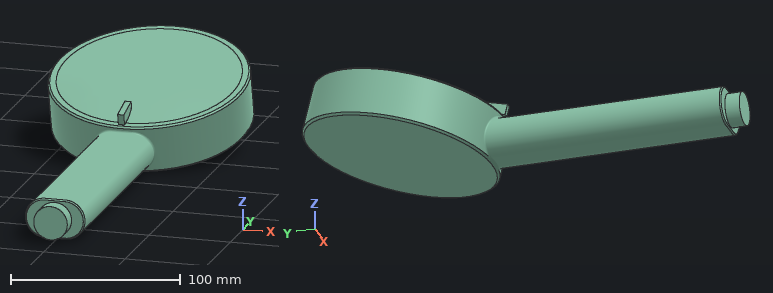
import cadquery as cq

TILT_ANGLE = 13.9

HEAD_RADIUS = 60.0
HEAD_HEIGHT = 30.7
TOP_CHAMFER = 1.0
BOTTOM_CHAMFER = 1.4

FACE_RADIUS = 55.0
DOME_HEIGHT = 9.5
LEVER_WIDTH = 3.8
LEVER_INNER_RADIUS = 43.7
LEVER_OUTER_RADIUS = 59.5
LEVER_TOP = 8.1
LEVER_CLEARANCE = 1.4

HANDLE_WIDTH = 36.6
HANDLE_THICKNESS = 24.2
HANDLE_AXIS_Z = -30.5
HANDLE_START = 48.9
HANDLE_END = 197.3
HANDLE_CHAMFER = 0.8
NECK_FILLET = 1.0
CONNECTOR_DIAMETER = 20.5
CONNECTOR_LENGTH = 9.0


def tilt(body):
    """Tilt a body about X so that its +Y side rises."""
    return body.rotate((0, 0, 0), (1, 0, 0), TILT_ANGLE)


def make_head():
    head = cq.Workplane("XY").circle(HEAD_RADIUS).extrude(-HEAD_HEIGHT)
    head = head.faces(">Z").chamfer(TOP_CHAMFER)
    head = head.faces("<Z").chamfer(BOTTOM_CHAMFER)
    return tilt(head)


def make_handle():
    """Handle of rounded-ended section, starting just inside the head wall."""
    handle = (
        cq.Workplane("XZ", origin=(0, -HANDLE_START, HANDLE_AXIS_Z))
        .slot2D(HANDLE_WIDTH, HANDLE_THICKNESS)
        .extrude(HANDLE_END - HANDLE_START)
    )
    return handle.faces("<Y").chamfer(HANDLE_CHAMFER)


def make_connector():
    return (
        cq.Workplane("XZ", origin=(0, -HANDLE_END, HANDLE_AXIS_Z))
        .circle(CONNECTOR_DIAMETER / 2)
        .extrude(CONNECTOR_LENGTH)
    )


def make_housing():
    """Head and handle joined by a small neck fillet, with the hose connector at the end."""
    head = make_head()
    joined = head.union(make_handle())
    neck_zone = cq.selectors.BoxSelector(
        (-HANDLE_WIDTH, -HEAD_RADIUS, HANDLE_AXIS_Z - HANDLE_THICKNESS / 2 - NECK_FILLET),
        (HANDLE_WIDTH, -HANDLE_START, HANDLE_AXIS_Z + HANDLE_THICKNESS / 2 + NECK_FILLET),
    )
    joined = joined.edges(neck_zone).fillet(NECK_FILLET)
    return joined.union(make_connector())


def make_lever():
    """Flat lever reaching from the dome outward above the rim without touching it."""
    return cq.Workplane("XY").box(
        LEVER_WIDTH,
        LEVER_OUTER_RADIUS - LEVER_INNER_RADIUS,
        LEVER_TOP - LEVER_CLEARANCE,
        centered=(True, False, False),
    ).translate((0, -LEVER_OUTER_RADIUS, LEVER_CLEARANCE))


def make_spray_face():
    """Spherical dome resting on the head, made in one piece with its lever."""
    sphere_radius = (FACE_RADIUS**2 + DOME_HEIGHT**2) / (2 * DOME_HEIGHT)
    blank = cq.Workplane("XY").circle(FACE_RADIUS).extrude(DOME_HEIGHT)
    sphere = cq.Workplane("XY").sphere(sphere_radius).translate((0, 0, DOME_HEIGHT - sphere_radius))
    return tilt(blank.intersect(sphere).union(make_lever()))


housing = make_housing()
spray_face = make_spray_face()

result = cq.Compound.makeCompound([housing.val(), spray_face.val()])